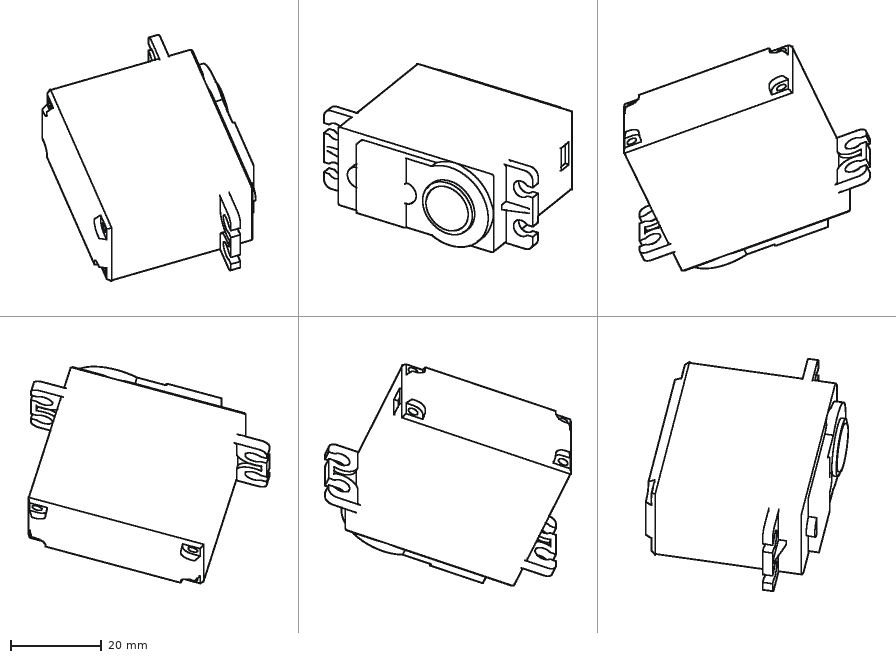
import cadquery as cq
import math

overall_length = 54.5
overall_depth = 39.2
overall_height = 20.0
half_height = overall_height / 2

small_radius = 0.15

case_half_length = 20.3
case_edge_radius = 0.52
case_front_y = 35.8
front_chamfer = 0.4

back_taper_depth = 2.45
back_half_length = 18.8
back_half_height = 8.55

screw_x = 18.0
screw_z = 7.75
screw_hole_radius = 1.1
screw_hole_depth = 3.25
screw_recess_radius = 2.35
screw_recess_depth = 1.45

ear_back_y = 28.0
ear_front_y = 30.25
ear_corner_radius = 2.0
ear_hole_x = 24.25
ear_hole_z = 5.0
ear_hole_radius = 2.0
ear_slot_width = 2.55
ear_mouth_radius = 0.4

ear_recess_depth = 1.0
ear_collar_radius = 4.1
ear_recess_end_x = 26.0

gusset_thickness = 1.3
gusset_tip_x = 26.3
gusset_height = 1.8

window_near_y = 3.75
window_far_y = 7.1
window_height = 5.8
window_depth = 1.0

shaft_x = -10.25
housing_front_y = 37.7
housing_end_x = 13.9
housing_half_height = 8.85

plate_front_y = 38.2
plate_start_x = 1.1

lobe_radius = 2.55

collar_radius = 6.5
collar_front_y = 38.7
shaft_radius = 5.4


def block(x_min, x_max, y_min, y_max, z_min, z_max):
    """Box between two opposite corners."""
    size = (x_max - x_min, y_max - y_min, z_max - z_min)
    return cq.Workplane("XY").box(*size, centered=False).translate((x_min, y_min, z_min))


def plane_at(y):
    """Sketch plane at a given Y: local axes are X and Z, and extrusions run toward -Y."""
    return cq.Workplane(cq.Plane(origin=(0, y, 0), xDir=(1, 0, 0), normal=(0, -1, 0)))


def disc(x, z, radius, back_y, front_y):
    """Cylinder along Y."""
    return plane_at(front_y).center(x, z).circle(radius).extrude(front_y - back_y)


def make_case():
    length = 2 * case_half_length
    main = (
        plane_at(case_front_y)
        .rect(length, overall_height)
        .extrude(case_front_y - back_taper_depth)
        .edges("|Y").fillet(case_edge_radius)
        .faces(">Y").edges().chamfer(front_chamfer)
        .faces(">Y").edges().fillet(small_radius)
    )
    back = (
        plane_at(back_taper_depth)
        .rect(length, overall_height)
        .workplane(offset=back_taper_depth)
        .rect(2 * back_half_length, 2 * back_half_height)
        .loft(ruled=True)
        .faces("<Y").edges().fillet(small_radius)
    )
    return main.union(back)


def make_screw_recess(side, level):
    x = side * screw_x
    z = level * screw_z
    inner_x = side * (screw_x - screw_recess_radius)
    inner_z = level * (screw_z - screw_recess_radius)
    outer_x = side * case_half_length
    outer_z = level * half_height
    bend = screw_recess_radius * math.sqrt(0.5)
    recess = (
        plane_at(screw_recess_depth)
        .moveTo(outer_x, outer_z)
        .lineTo(inner_x, outer_z)
        .lineTo(inner_x, z)
        .threePointArc((x - side * bend, z - level * bend), (x, inner_z))
        .lineTo(outer_x, inner_z)
        .close()
        .extrude(screw_recess_depth)
    )
    return recess.union(disc(x, z, screw_hole_radius, 0, screw_recess_depth + screw_hole_depth))


def make_ear_opening(side, level):
    """Screw hole open to the ear's end through a narrower slot, with the corners between them rounded."""
    x = side * ear_hole_x
    z = level * ear_hole_z
    thickness = ear_front_y - ear_back_y
    slot_length = overall_length / 2 - ear_hole_x
    slot = (
        plane_at(ear_front_y)
        .center(x + side * slot_length / 2, z)
        .rect(slot_length, ear_slot_width)
        .extrude(thickness)
    )
    opening = slot.union(disc(x, z, ear_hole_radius, ear_back_y, ear_front_y))
    mouth_x = x + side * math.sqrt(ear_hole_radius**2 - (ear_slot_width / 2) ** 2)
    mouth = cq.selectors.BoxSelector(
        (mouth_x - ear_mouth_radius, ear_back_y, z - ear_slot_width),
        (mouth_x + ear_mouth_radius, ear_front_y, z + ear_slot_width),
    )
    return opening.edges("|Y").edges(mouth).fillet(ear_mouth_radius)


def make_ears():
    ears = (
        plane_at(ear_front_y)
        .rect(overall_length, overall_height)
        .extrude(ear_front_y - ear_back_y)
        .edges("|Y").fillet(ear_corner_radius)
    )
    for side in (-1, 1):
        inner_x, outer_x = sorted((side * case_half_length, side * ear_recess_end_x))
        recess = block(
            inner_x, outer_x, ear_back_y, ear_back_y + ear_recess_depth, -ear_hole_z, ear_hole_z
        )
        for level in (-1, 1):
            x = side * ear_hole_x
            z = level * ear_hole_z
            recess = recess.cut(disc(x, z, ear_collar_radius, ear_back_y, ear_front_y))
            ears = ears.cut(make_ear_opening(side, level))
        ears = ears.cut(recess)
    return ears


def make_gusset(side):
    return (
        cq.Workplane("XY", origin=(0, 0, -gusset_thickness / 2))
        .moveTo(side * case_half_length, ear_front_y)
        .lineTo(side * gusset_tip_x, ear_front_y)
        .lineTo(side * case_half_length, ear_front_y + gusset_height)
        .close()
        .extrude(gusset_thickness)
        .edges("(not |X) and (not |Y) and (not |Z)")
        .fillet(small_radius)
    )


def make_window():
    return block(
        -case_half_length, window_depth - case_half_length,
        window_near_y, window_far_y,
        -window_height / 2, window_height / 2,
    )


def make_gear_housing():
    base_y = case_front_y - front_chamfer
    bar = (
        block(shaft_x, housing_end_x, base_y, housing_front_y, -housing_half_height, housing_half_height)
        .edges("|Y and >X").fillet(small_radius)
    )
    round_end = disc(shaft_x, 0, half_height, base_y, housing_front_y)
    lobe = disc(housing_end_x, 0, lobe_radius, base_y, housing_front_y)
    return bar.union(round_end).union(lobe)


def make_cover_plate():
    plate = block(
        plate_start_x, housing_end_x,
        housing_front_y, plate_front_y,
        -housing_half_height, housing_half_height,
    )
    lobe = disc(plate_start_x, 0, lobe_radius, housing_front_y, plate_front_y)
    return (
        plate.edges("|Y").fillet(small_radius)
        .union(lobe)
        .faces(">Y").edges().fillet(small_radius)
    )


def make_output_shaft():
    collar = disc(shaft_x, 0, collar_radius, housing_front_y, collar_front_y)
    shaft = disc(shaft_x, 0, shaft_radius, collar_front_y, overall_depth)
    return collar.union(shaft.faces(">Y").edges().fillet(small_radius))


result = make_case().union(make_ears())
for side in (-1, 1):
    result = result.union(make_gusset(side))
    for level in (-1, 1):
        result = result.cut(make_screw_recess(side, level))
result = result.cut(make_window())
result = result.union(make_gear_housing()).union(make_cover_plate())
result = result.union(make_output_shaft())